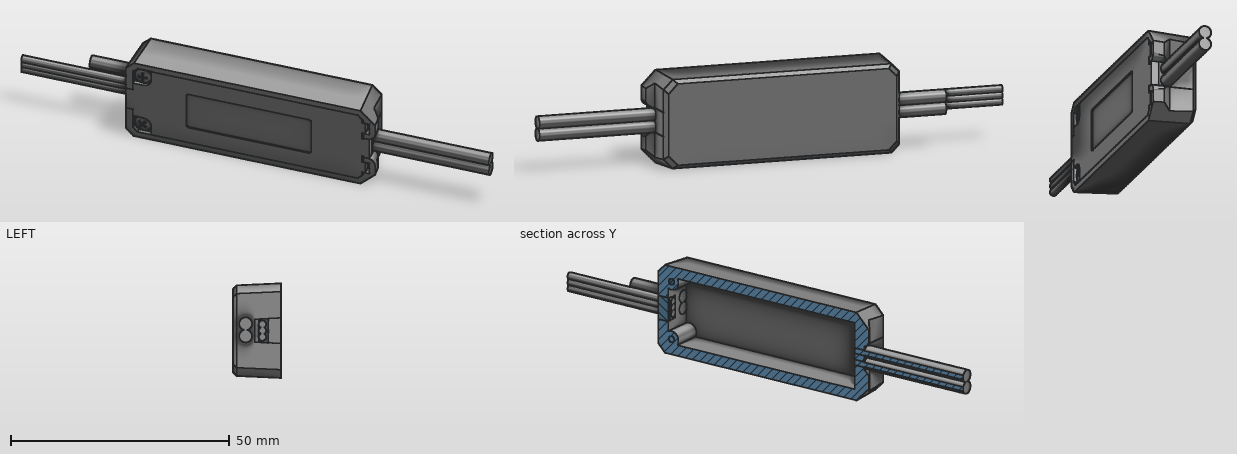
import cadquery as cq
import math


LENGTH = 113.2
FRONT_Y = -5.5
BACK_Y = 5.5
EDGE_BEVEL = 0.9
SHOULDER_Y = BACK_Y - EDGE_BEVEL
LEFT_X = -30.2
RIGHT_X = 29.9
HALF_WIDTH = 10.9
LEFT_CORNER = 1.9
RIGHT_CORNER = 3.5
SIDE_DRAFT = 0.5
LEFT_DRAFT = 0.8

END_WALL_X = 28.2
EAR_TOP_Y = -2.9
SLOPE_TOP_Y = -1.0
EAR_GAP_HALF = 2.8
EAR_RADIUS = 1.8
WINDOW_DEPTH = 1.8

RIM = 1.5
COVER_THICKNESS = 1.8
COVER_BACK_Y = FRONT_Y + COVER_THICKNESS
COVER_LEFT_X = -28.5
COVER_RIGHT_X = 27.0
COVER_HALF_WIDTH = HALF_WIDTH - RIM
COVER_LEFT_CORNER = 1.1
COVER_RIGHT_CORNER = 1.4
TAB_END_X = 27.5
TAB_INNER_Z = 4.3
TAB_OUTER_Z = 7.4
TONGUE_END_X = 28.5
RELIEF_WIDTH = 0.3
RELIEF_INNER_Z = 2.6
LABEL_LENGTH = 30.1
LABEL_WIDTH = 10.0
LABEL_CENTRE_X = -0.6
LABEL_RADIUS = 0.7
LABEL_DEPTH = 0.3

LEDGE = 1.4
CAVITY_BACK_Y = 3.7
CAVITY_LEFT_X = COVER_LEFT_X + LEDGE
CAVITY_RIGHT_X = COVER_RIGHT_X - LEDGE
CAVITY_HALF_WIDTH = COVER_HALF_WIDTH - LEDGE

TWIN_DIAMETER = 2.9
TWIN_PITCH = 2.8
TRIPLE_DIAMETER = 1.7
TRIPLE_PITCH = 1.5
LEFT_TWIN_TIP_X = -41.2
LEFT_TWIN_Y = 2.6
LEFT_TWIN_Z = 0.17
TRIPLE_Y = -1.2
RIGHT_TWIN_Y = -1.8
RIGHT_TWIN_Z = -0.1

SLOT_FRONT_HALF = 2.9
SLOT_BACK_HALF = 2.6
SLOT_BACK_Y = 0.6
SLOT_THROUGH_Y = TRIPLE_Y + TRIPLE_DIAMETER / 2
RECESS_DEPTH = 0.6
TONGUE_BACK_Y = -2.6

SCREW_X = -26.3
SCREW_Z = 7.0
HEAD_RADIUS = 2.0
HEAD_RIM = 0.3
HEAD_HEIGHT = 0.9
SHANK_RADIUS = 0.7
SHANK_LENGTH = 3.4
CROSS_LENGTH = 2.2
CROSS_WIDTH = 0.3
CROSS_DEPTH = 0.5
SCREW_ANGLES = {1: 0, -1: 50}
POCKET_DEPTH = 1.0
POCKET_HALF = 2.2
POCKET_RADIUS = 2.0
BOSS_RADIUS = 2.0


def plane_at(y):
    """Workplane facing the front, with local axes X and Z."""
    return cq.Workplane("XZ", origin=(0, y, 0))


def block(x0, x1, y0, y1, z0, z1):
    return cq.Workplane("XY").box(x1 - x0, y1 - y0, z1 - z0, centered=False).translate((x0, y0, z0))


def outline(left, right, half_width, left_corner, right_corner):
    """Rectangle in X and Z with its four corners cut at 45 degrees."""
    upper = [
        (left, half_width - left_corner),
        (left + left_corner, half_width),
        (right - right_corner, half_width),
        (right, half_width - right_corner),
    ]
    lower = [(x, -z) for x, z in reversed(upper)]
    return upper + lower


def prism(points, y0, y1):
    return plane_at(y0).polyline(points).close().extrude(y0 - y1)


def tapered(front_points, y0, back_points, y1):
    base = plane_at(y0).polyline(front_points).close().workplane(offset=y0 - y1)
    return base.polyline(back_points).close().loft(ruled=True)


def make_envelope():
    """Outer shape shared by the housing and the cover."""
    shoulder_left = LEFT_X + LEFT_DRAFT
    shoulder_half = HALF_WIDTH - SIDE_DRAFT
    shoulder_right = RIGHT_X - SIDE_DRAFT
    body = tapered(
        outline(LEFT_X, RIGHT_X, HALF_WIDTH, LEFT_CORNER, RIGHT_CORNER), FRONT_Y,
        outline(shoulder_left, shoulder_right, shoulder_half, LEFT_CORNER, RIGHT_CORNER), SHOULDER_Y,
    )
    end_cut = (
        cq.Workplane("XY")
        .polyline([
            (END_WALL_X, SHOULDER_Y),
            (END_WALL_X, SLOPE_TOP_Y),
            (RIGHT_X, EAR_TOP_Y),
            (RIGHT_X, SHOULDER_Y),
        ])
        .close()
        .extrude(HALF_WIDTH, both=True)
    )
    wall_corner = RIGHT_CORNER - (shoulder_right - END_WALL_X)
    back = tapered(
        outline(shoulder_left, END_WALL_X, shoulder_half, LEFT_CORNER, wall_corner), SHOULDER_Y,
        outline(shoulder_left + EDGE_BEVEL, END_WALL_X - EDGE_BEVEL, shoulder_half - EDGE_BEVEL,
                LEFT_CORNER, wall_corner), BACK_Y,
    )
    return body.cut(end_cut).union(back).cut(make_ear_gap())


def make_ear_gap():
    """Opening between the ears, widening with a round at each ear tip."""
    half = EAR_GAP_HALF
    mid = EAR_RADIUS * (1 - math.sqrt(0.5))
    return (
        plane_at(FRONT_Y)
        .moveTo(TONGUE_END_X, -half)
        .lineTo(RIGHT_X - EAR_RADIUS, -half)
        .threePointArc((RIGHT_X - mid, -half - mid), (RIGHT_X, -half - EAR_RADIUS))
        .lineTo(RIGHT_X, half + EAR_RADIUS)
        .threePointArc((RIGHT_X - mid, half + mid), (RIGHT_X - EAR_RADIUS, half))
        .lineTo(TONGUE_END_X, half)
        .close()
        .extrude(FRONT_Y - SHOULDER_Y)
    )


def make_wall_slot():
    """Wedge-sided slot through the left wall, from the front face back."""
    return (
        cq.Workplane("YZ", origin=(LEFT_X, 0, 0))
        .polyline([
            (FRONT_Y, -SLOT_FRONT_HALF),
            (SLOT_BACK_Y, -SLOT_BACK_HALF),
            (SLOT_BACK_Y, SLOT_BACK_HALF),
            (FRONT_Y, SLOT_FRONT_HALF),
        ])
        .close()
        .extrude(CAVITY_LEFT_X - LEFT_X)
    )


def tab_pair(x0, x1, depth):
    """Two blocks across the width of the cover tabs, one on each side of the cable."""
    upper = block(x0, x1, FRONT_Y, FRONT_Y + depth, TAB_INNER_Z, TAB_OUTER_Z)
    return upper.union(upper.mirror("XY"))


def make_cover_blank(envelope, wall_slot):
    """Cover plate with its tabs and end tongues, the shape that is cut from the housing."""
    plate = prism(
        outline(COVER_LEFT_X, COVER_RIGHT_X, COVER_HALF_WIDTH, COVER_LEFT_CORNER, COVER_RIGHT_CORNER),
        FRONT_Y, COVER_BACK_Y,
    )
    tongue_zone = block(LEFT_X, CAVITY_LEFT_X, FRONT_Y, TONGUE_BACK_Y, -HALF_WIDTH, HALF_WIDTH)
    left_tongue = wall_slot.intersect(tongue_zone)
    right_tongue = block(CAVITY_RIGHT_X, TONGUE_END_X, FRONT_Y, COVER_BACK_Y,
                         -EAR_GAP_HALF, EAR_GAP_HALF)
    blank = plate.union(left_tongue).union(right_tongue)
    blank = blank.union(tab_pair(CAVITY_RIGHT_X, TAB_END_X, COVER_THICKNESS))
    return blank.intersect(envelope)


def make_screw_pocket(side):
    """Corner pocket for a screw head, rounded toward the middle of the cover."""
    inner_x = SCREW_X + POCKET_HALF
    inner_z = SCREW_Z - POCKET_HALF
    pocket = block(COVER_LEFT_X, inner_x, FRONT_Y, FRONT_Y + POCKET_DEPTH, inner_z, COVER_HALF_WIDTH)
    pocket = pocket.edges("|Y and >X and <Z").fillet(POCKET_RADIUS)
    return pocket if side > 0 else pocket.mirror("XY")


def make_screw(side):
    """Domed cross-head screw standing on its pocket floor."""
    dome_height = HEAD_HEIGHT - HEAD_RIM
    dome_radius = (HEAD_RADIUS**2 + dome_height**2) / (2 * dome_height)
    half_angle = math.asin(HEAD_RADIUS / dome_radius) / 2
    dome_mid = (
        dome_radius * math.sin(half_angle),
        HEAD_HEIGHT - dome_radius * (1 - math.cos(half_angle)),
    )
    screw = (
        cq.Workplane("XY")
        .moveTo(0, -SHANK_LENGTH)
        .lineTo(SHANK_RADIUS, -SHANK_LENGTH)
        .lineTo(SHANK_RADIUS, 0)
        .lineTo(HEAD_RADIUS, 0)
        .lineTo(HEAD_RADIUS, HEAD_RIM)
        .threePointArc(dome_mid, (0, HEAD_HEIGHT))
        .close()
        .revolve(360, (0, 0, 0), (0, 1, 0))
    )
    for size_x, size_z in ((CROSS_LENGTH, CROSS_WIDTH), (CROSS_WIDTH, CROSS_LENGTH)):
        bar = cq.Workplane("XY").box(size_x, 2 * CROSS_DEPTH, size_z)
        screw = screw.cut(bar.translate((0, HEAD_HEIGHT, 0)))
    screw = screw.rotate((0, 0, 0), (0, 1, 0), SCREW_ANGLES[side])
    screw = screw.rotate((0, 0, 0), (1, 0, 0), 180)
    return screw.translate((SCREW_X, FRONT_Y + POCKET_DEPTH, side * SCREW_Z))


def make_cable(x0, x1, y, z, count, diameter, pitch):
    """Flat cable: parallel round cores side by side in Z, fused along their length."""
    first_z = z - pitch * (count - 1) / 2
    cable = cq.Workplane("YZ")
    for index in range(count):
        core = cq.Workplane("YZ", origin=(x0, y, first_z + index * pitch))
        cable = cable.union(core.circle(diameter / 2).extrude(x1 - x0))
    return cable


def make_cover(blank, screws):
    """Finished cover with screw pockets and holes, label recess and gaps beside the tabs."""
    cover = blank
    for side in (1, -1):
        cover = cover.cut(make_screw_pocket(side))
    for screw in screws:
        cover = cover.cut(screw)
    label = (
        plane_at(FRONT_Y)
        .center(LABEL_CENTRE_X, 0)
        .rect(LABEL_LENGTH, LABEL_WIDTH)
        .extrude(-LABEL_DEPTH)
        .edges("|Y")
        .fillet(LABEL_RADIUS)
    )
    cover = cover.cut(label)
    relief_start_x = COVER_RIGHT_X - RELIEF_WIDTH
    for low_z, high_z in ((RELIEF_INNER_Z, TAB_INNER_Z), (TAB_OUTER_Z, COVER_HALF_WIDTH)):
        relief = block(relief_start_x, COVER_RIGHT_X, FRONT_Y, COVER_BACK_Y, low_z, high_z)
        cover = cover.cut(relief).cut(relief.mirror("XY"))
    return cover


def make_housing(envelope, blank, wall_slot, screws, cables):
    """Hollow case with screw bosses, open at the front for the cover."""
    cavity = block(CAVITY_LEFT_X, CAVITY_RIGHT_X, COVER_BACK_Y, CAVITY_BACK_Y,
                   -CAVITY_HALF_WIDTH, CAVITY_HALF_WIDTH)
    for side in (1, -1):
        boss = plane_at(COVER_BACK_Y).center(SCREW_X, side * SCREW_Z).circle(BOSS_RADIUS)
        cavity = cavity.cut(boss.extrude(COVER_BACK_Y - CAVITY_BACK_Y))
    housing = envelope.cut(cavity).cut(blank)

    kept_wall = block(LEFT_X + LEFT_DRAFT + RECESS_DEPTH, CAVITY_LEFT_X, SLOT_THROUGH_Y, SLOT_BACK_Y,
                      -HALF_WIDTH, HALF_WIDTH)
    housing = housing.cut(wall_slot.cut(kept_wall))

    housing = housing.cut(tab_pair(TAB_END_X, TONGUE_END_X, WINDOW_DEPTH))
    for part in screws + cables:
        housing = housing.cut(part)
    return housing


envelope = make_envelope()
wall_slot = make_wall_slot()
cover_blank = make_cover_blank(envelope, wall_slot)

screws = [make_screw(side) for side in (1, -1)]
left_twin = make_cable(LEFT_TWIN_TIP_X, CAVITY_LEFT_X, LEFT_TWIN_Y, LEFT_TWIN_Z,
                       2, TWIN_DIAMETER, TWIN_PITCH)
left_triple = make_cable(-LENGTH / 2, CAVITY_LEFT_X, TRIPLE_Y, 0, 3, TRIPLE_DIAMETER, TRIPLE_PITCH)
right_twin = make_cable(CAVITY_RIGHT_X, LENGTH / 2, RIGHT_TWIN_Y, RIGHT_TWIN_Z,
                        2, TWIN_DIAMETER, TWIN_PITCH)
cables = [left_twin, left_triple, right_twin]

cover = make_cover(cover_blank, screws)
housing = make_housing(envelope, cover_blank, wall_slot, screws, cables)

bodies = [housing, cover] + screws + cables
result = cq.Compound.makeCompound([body.solids().val() for body in bodies])